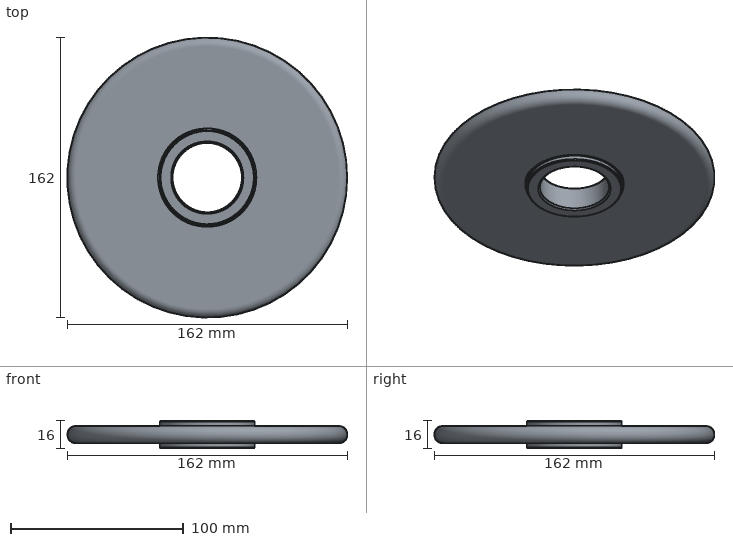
import cadquery as cq

disc_diameter = 162.0
disc_thickness = 10.0
rim_radius = 4.9

collar_diameter = 57.0
hub_diameter = 55.0
bushing_length = 16.0
hub_chamfer = 0.6
collar_chamfer = (collar_diameter - hub_diameter) / 2
bore_diameter = 40.0
bore_chamfer = 1.0


def cylinder(diameter, height):
    """Plain cylinder along Z, centred on the origin."""
    return cq.Workplane("XY").workplane(offset=-height / 2).circle(diameter / 2).extrude(height)


def chamfered_cylinder(diameter, height, chamfer):
    """Centred cylinder with both end edges chamfered."""
    return cylinder(diameter, height).faces("<Z or >Z").edges().chamfer(chamfer)


def make_disc():
    """Flat disc with a rounded rim and a plain seat for the bushing."""
    blank = cylinder(disc_diameter, disc_thickness).faces("<Z or >Z").edges().fillet(rim_radius)
    return blank.cut(cylinder(collar_diameter, disc_thickness))


def make_bushing():
    """Bored sleeve whose collar tapers to the hubs, leaving a V groove at each disc face."""
    hubs = chamfered_cylinder(hub_diameter, bushing_length, hub_chamfer)
    collar = chamfered_cylinder(collar_diameter, disc_thickness, collar_chamfer)
    bored = hubs.union(collar).cut(cylinder(bore_diameter, bushing_length))
    bore_edges = cq.selectors.RadiusNthSelector(0)
    return bored.faces("<Z or >Z").edges(bore_edges).chamfer(bore_chamfer)


disc = make_disc()
bushing = make_bushing()

result = cq.Compound.makeCompound([*disc.vals(), *bushing.vals()])